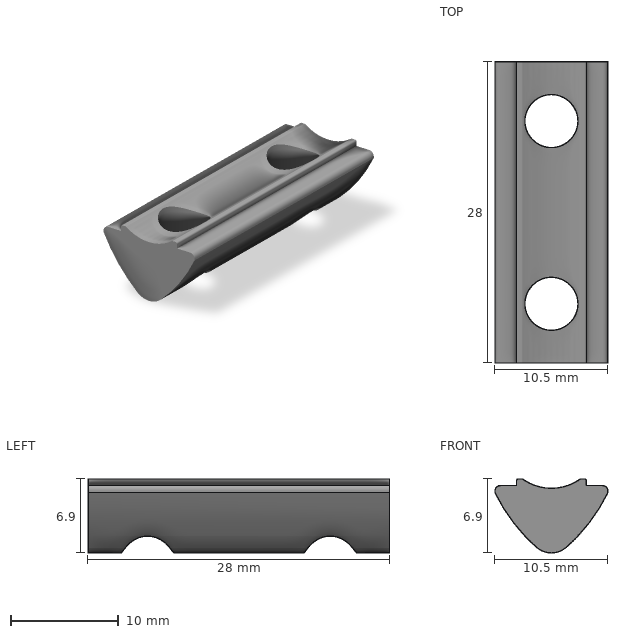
import cadquery as cq

length = 28.0
width = 10.5
height = 6.9

rib_height = 0.62
rib_half_width = 3.25
rib_round = 0.17
channel_half_width = 2.7
channel_depth = 0.87
channel_edge_round = 0.17

shoulder_round = 0.5
side_bottom = -1.3
flank_mid = (3.25, -4.42)
keel_half_width = 1.3
keel_edge = -6.45

hole_diameter = 4.9
hole_spacing = 16.97

half_width = width / 2


def make_bar():
    """Extrude the section along Y, with the rib tops at Z = 0."""
    section = (
        cq.Workplane("XZ", origin=(0, length / 2, 0))
        .moveTo(-channel_half_width, 0)
        .threePointArc((0, -channel_depth), (channel_half_width, 0))
        .lineTo(rib_half_width, 0)
        .lineTo(rib_half_width, -rib_height)
        .lineTo(half_width, -rib_height)
        .lineTo(half_width, side_bottom)
        .threePointArc(flank_mid, (keel_half_width, keel_edge))
        .threePointArc((0, -height), (-keel_half_width, keel_edge))
        .threePointArc((-flank_mid[0], flank_mid[1]), (-half_width, side_bottom))
        .lineTo(-half_width, -rib_height)
        .lineTo(-rib_half_width, -rib_height)
        .lineTo(-rib_half_width, 0)
        .close()
    )
    return section.extrude(length)


def round_long_edges(body, x, z, radius):
    """Round the mirrored pair of lengthwise edges at (+x, z) and (-x, z)."""
    for side in (-1, 1):
        edge = cq.selectors.NearestToPointSelector((side * x, 0, z))
        body = body.edges("|Y").edges(edge).fillet(radius)
    return body


bar = make_bar()
bar = round_long_edges(bar, half_width, -rib_height, shoulder_round)
bar = round_long_edges(bar, rib_half_width, 0, rib_round)
bar = round_long_edges(bar, channel_half_width, 0, channel_edge_round)

holes = (
    cq.Workplane("XY")
    .pushPoints([(0, -hole_spacing / 2), (0, hole_spacing / 2)])
    .circle(hole_diameter / 2)
    .extrude(-height)
)

result = bar.cut(holes)